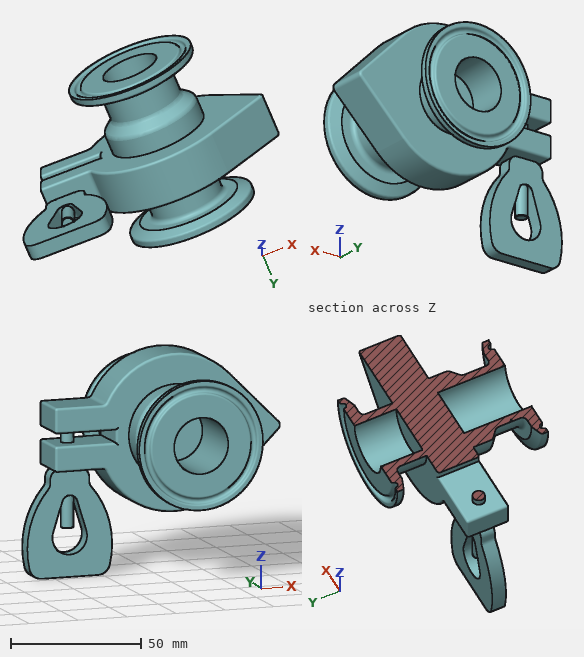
import math

import cadquery as cq


FRONT_END = -38.0
REAR_END = 27.0
NECK_RADIUS = 29.0 / 2
HOUSING_RADIUS = 38.0 / 2
BORE_RADIUS = 22.1 / 2
CONE_START = -21.1
CONE_END = -17.3
CONE_FILLET = 2.0

FLANGE_RADIUS = 50.5 / 2
FLANGE_THICKNESS = 4.7
FLANGE_SLOPE = math.radians(20)
FLANGE_SLOPE_INNER_RADIUS = 20.2
FLANGE_EDGE_FILLET = 1.0
FLANGE_ROOT_FILLET = 2.0

GROOVE_MID_RADIUS = 43.5 / 2
GROOVE_HALF_WIDTH = 1.95
GROOVE_LIP_RADIUS = 0.8
GROOVE_FLOOR_RADIUS = 1.1
GROOVE_WALL_ANGLE = math.radians(70)

CLAMP_WIDTH = 18.0
CLAMP_RADIUS = 31.0
TIP_FILLET = 2.0
ARM_END = -48.9
ARM_OUTER = 12.5
SLOT_HEIGHT = 5.0
SLOT_END = -24.2
ARM_ROOT_FILLET = 2.0
EDGE_FILLET = 1.0

BOLT_X = -40.92
BOLT_RADIUS = 5.0 / 2
BOLT_TOP = ARM_OUTER - EDGE_FILLET
BOLT_BOTTOM = -36.0
BOLT_CHAMFER = 0.25

LEVER_THICKNESS = 6.0
LEVER_TOP = -ARM_OUTER
LEVER_BOTTOM = -54.9
LEVER_NECK_HALF_WIDTH = 8.0
LEVER_TOP_FILLET = 4.0
LEVER_NECK_FILLET = 3.0
LEVER_HALF_WIDTH = 17.33
LEVER_SIDE_RADIUS = 35.0
LEVER_WIDEST_Z = -43.0
LEVER_CORNER_FILLET = 5.0
WINDOW_TOP_RADIUS = 3.2
WINDOW_TOP_Z = -26.2
WINDOW_BOTTOM_RADIUS = 7.05
WINDOW_BOTTOM_Z = -39.1


def cylinder_y(radius, start, end):
    """Cylinder on the Y axis between two Y positions."""
    plane = cq.Workplane("XZ", origin=(0, start, 0))
    return plane.circle(radius).extrude(start - end)


def circles_at(y):
    """Select the circular edges lying at one Y position."""
    tolerance = 0.01
    return cq.selectors.BoxSelector(
        (-CLAMP_RADIUS, y - tolerance, -CLAMP_RADIUS),
        (CLAMP_RADIUS, y + tolerance, CLAMP_RADIUS),
    )


def make_groove(face_y, inward):
    """Ring to cut from a ferrule face; inward is the sign of Y into the metal."""
    sine = math.sin(GROOVE_WALL_ANGLE)
    cosine = math.cos(GROOVE_WALL_ANGLE)
    half_sine = math.sin(GROOVE_WALL_ANGLE / 2)
    half_cosine = math.cos(GROOVE_WALL_ANGLE / 2)
    wall_top = GROOVE_HALF_WIDTH - GROOVE_LIP_RADIUS * sine
    wall_bottom = GROOVE_FLOOR_RADIUS * sine
    wall_top_depth = GROOVE_LIP_RADIUS * (1 - cosine)
    wall_bottom_depth = wall_top_depth + (wall_top - wall_bottom) * sine / cosine
    floor_depth = wall_bottom_depth + GROOVE_FLOOR_RADIUS * (1 - cosine)
    lip_middle = GROOVE_HALF_WIDTH - GROOVE_LIP_RADIUS * half_sine
    lip_middle_depth = GROOVE_LIP_RADIUS * (1 - half_cosine)

    def point(offset, depth):
        return (GROOVE_MID_RADIUS + offset, face_y + inward * depth)

    return (
        cq.Workplane("XY")
        .moveTo(*point(-GROOVE_HALF_WIDTH, 0))
        .threePointArc(point(-lip_middle, lip_middle_depth), point(-wall_top, wall_top_depth))
        .lineTo(*point(-wall_bottom, wall_bottom_depth))
        .threePointArc(point(0, floor_depth), point(wall_bottom, wall_bottom_depth))
        .lineTo(*point(wall_top, wall_top_depth))
        .threePointArc(point(lip_middle, lip_middle_depth), point(GROOVE_HALF_WIDTH, 0))
        .close()
        .revolve(360, (0, 0, 0), (0, 1, 0))
    )


def make_valve_body():
    """Turned body with a ferrule at each end, without its bores and grooves."""
    slope_rise = (FLANGE_RADIUS - FLANGE_SLOPE_INNER_RADIUS) * math.tan(FLANGE_SLOPE)
    rim = FLANGE_THICKNESS - slope_rise
    front_back = FRONT_END + FLANGE_THICKNESS
    rear_back = REAR_END - FLANGE_THICKNESS
    front_rim = FRONT_END + rim
    rear_rim = REAR_END - rim
    outline = [
        (0, FRONT_END),
        (FLANGE_RADIUS, FRONT_END),
        (FLANGE_RADIUS, front_rim),
        (FLANGE_SLOPE_INNER_RADIUS, front_back),
        (NECK_RADIUS, front_back),
        (NECK_RADIUS, CONE_START),
        (HOUSING_RADIUS, CONE_END),
        (HOUSING_RADIUS, 0),
        (NECK_RADIUS, 0),
        (NECK_RADIUS, rear_back),
        (FLANGE_SLOPE_INNER_RADIUS, rear_back),
        (FLANGE_RADIUS, rear_rim),
        (FLANGE_RADIUS, REAR_END),
        (0, REAR_END),
    ]
    body = cq.Workplane("XY").polyline(outline).close().revolve(360, (0, 0, 0), (0, 1, 0))
    for y in (front_rim, rear_rim):
        body = body.edges(circles_at(y)).fillet(FLANGE_EDGE_FILLET)
    for y in (front_back, rear_back):
        root = cq.selectors.RadiusNthSelector(0)
        body = body.edges(circles_at(y)).edges(root).fillet(FLANGE_ROOT_FILLET)
    for y in (CONE_START, CONE_END):
        body = body.edges(circles_at(y)).fillet(CONE_FILLET)
    return body


def cut_ends(part):
    """Cut the blind bore and the gasket groove into each ferrule face."""
    for face_y, inward in ((FRONT_END, 1), (REAR_END, -1)):
        bore_end = -inward * CLAMP_WIDTH / 2
        part = part.cut(cylinder_y(BORE_RADIUS, face_y, bore_end))
        part = part.cut(make_groove(face_y, inward))
    return part


def make_clamp():
    """Round clamp with a pointed hinge side and two arms parted by a slot."""
    half_width = CLAMP_WIDTH / 2
    half_slot = SLOT_HEIGHT / 2
    tangent = CLAMP_RADIUS * math.cos(math.pi / 4)
    apex = 2 * tangent
    root_x = -math.sqrt(CLAMP_RADIUS**2 - ARM_OUTER**2)
    clamp = (
        cq.Workplane("XZ", origin=(0, half_width, 0))
        .moveTo(apex, 0)
        .lineTo(tangent, tangent)
        .threePointArc((0, CLAMP_RADIUS), (root_x, ARM_OUTER))
        .lineTo(ARM_END, ARM_OUTER)
        .lineTo(ARM_END, half_slot)
        .lineTo(SLOT_END, half_slot)
        .lineTo(SLOT_END, -half_slot)
        .lineTo(ARM_END, -half_slot)
        .lineTo(ARM_END, -ARM_OUTER)
        .lineTo(root_x, -ARM_OUTER)
        .threePointArc((0, -CLAMP_RADIUS), (tangent, -tangent))
        .close()
        .extrude(CLAMP_WIDTH)
    )
    clamp = clamp.edges("|Y and >X").fillet(TIP_FILLET)
    for side in (1, -1):
        root = cq.selectors.NearestToPointSelector((root_x, 0, side * ARM_OUTER))
        clamp = clamp.edges(root).fillet(ARM_ROOT_FILLET)
    arm_corners = clamp.edges("|Y and <X")
    return arm_corners.add(clamp.faces("|Y").edges()).fillet(EDGE_FILLET)


def make_bolt():
    """Vertical clamping bolt through both arms and into the lever window."""
    bolt = cq.Workplane("XY", origin=(BOLT_X, 0, BOLT_BOTTOM))
    bolt = bolt.circle(BOLT_RADIUS).extrude(BOLT_TOP - BOLT_BOTTOM)
    return bolt.faces("<Z").edges().chamfer(BOLT_CHAMFER)


def make_window():
    """Teardrop prism: two arcs joined by their common tangent lines."""
    spacing = WINDOW_TOP_Z - WINDOW_BOTTOM_Z
    sine = (WINDOW_BOTTOM_RADIUS - WINDOW_TOP_RADIUS) / spacing
    cosine = math.sqrt(1 - sine**2)
    top_x = WINDOW_TOP_RADIUS * cosine
    top_z = WINDOW_TOP_Z + WINDOW_TOP_RADIUS * sine
    bottom_x = WINDOW_BOTTOM_RADIUS * cosine
    bottom_z = WINDOW_BOTTOM_Z + WINDOW_BOTTOM_RADIUS * sine
    return (
        cq.Workplane("XZ", origin=(BOLT_X, LEVER_THICKNESS / 2, 0))
        .moveTo(-top_x, top_z)
        .threePointArc((0, WINDOW_TOP_Z + WINDOW_TOP_RADIUS), (top_x, top_z))
        .lineTo(bottom_x, bottom_z)
        .threePointArc((0, WINDOW_BOTTOM_Z - WINDOW_BOTTOM_RADIUS), (-bottom_x, bottom_z))
        .close()
        .extrude(LEVER_THICKNESS)
    )


def make_lever():
    """Flat lever nut with bowed sides, hanging under the lower arm."""
    arc_centre_x = LEVER_HALF_WIDTH - LEVER_SIDE_RADIUS
    neck_reach = LEVER_NECK_HALF_WIDTH - arc_centre_x
    neck_z = LEVER_WIDEST_Z + math.sqrt(LEVER_SIDE_RADIUS**2 - neck_reach**2)
    bottom_drop = LEVER_WIDEST_Z - LEVER_BOTTOM
    bottom_x = arc_centre_x + math.sqrt(LEVER_SIDE_RADIUS**2 - bottom_drop**2)
    lever = (
        cq.Workplane("XZ", origin=(BOLT_X, LEVER_THICKNESS / 2, 0))
        .moveTo(-LEVER_NECK_HALF_WIDTH, LEVER_TOP)
        .lineTo(LEVER_NECK_HALF_WIDTH, LEVER_TOP)
        .lineTo(LEVER_NECK_HALF_WIDTH, neck_z)
        .threePointArc((LEVER_HALF_WIDTH, LEVER_WIDEST_Z), (bottom_x, LEVER_BOTTOM))
        .lineTo(-bottom_x, LEVER_BOTTOM)
        .threePointArc((-LEVER_HALF_WIDTH, LEVER_WIDEST_Z), (-LEVER_NECK_HALF_WIDTH, neck_z))
        .close()
        .extrude(LEVER_THICKNESS)
    )
    lever = lever.edges("|Y and >Z").fillet(LEVER_TOP_FILLET)
    for side in (1, -1):
        neck_point = (BOLT_X + side * LEVER_NECK_HALF_WIDTH, 0, neck_z)
        neck = cq.selectors.NearestToPointSelector(neck_point)
        lever = lever.edges(neck).fillet(LEVER_NECK_FILLET)
    lever = lever.edges("|Y and <Z").fillet(LEVER_CORNER_FILLET)
    return lever.cut(make_window())


valve = cut_ends(make_valve_body().union(make_clamp()))
result = valve.union(make_lever()).union(make_bolt())